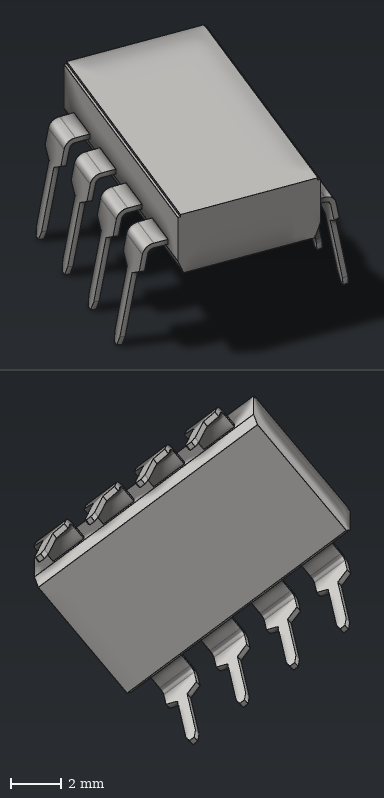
import cadquery as cq
import math

overall_height = 7.0
lead_span = 10.09

body_length = 11.1
body_width = 6.2
body_height = 2.94
top_step_height = 0.11
top_step_inset = 0.11
bottom_chamfer_height = 0.65
bottom_chamfer_inset = 0.25

leads_per_side = 4
lead_pitch = 2.54
lead_thickness = 0.24
lead_width = 1.55
pin_width = 0.5
tip_width = 0.24
lead_top_depth = 1.85
bend_outer_radius = 0.5
splay_angle = 10.0

shoulder_start = 0.82
shoulder_end = 1.22
taper_start = 4.3

half_width = body_width / 2
splay = math.radians(splay_angle)
bend_angle = math.pi / 2 - splay
bend_inner_radius = bend_outer_radius - lead_thickness
lead_top_z = body_height - lead_top_depth
bend_center_z = lead_top_z - bend_outer_radius
blade_start_z = bend_center_z + bend_outer_radius * math.sin(splay)
tip_bottom_z = body_height - overall_height
tip_outer_z = tip_bottom_z + lead_thickness * math.sin(splay)
blade_length = (blade_start_z - tip_outer_z) / math.cos(splay)
blade_start_y = lead_span / 2 - blade_length * math.sin(splay)
bend_center_y = blade_start_y - bend_outer_radius * math.cos(splay)


def make_body():
    """Body section with a stepped top and chamfered lower edges, run along X."""
    step_half_width = half_width - top_step_inset
    bottom_half_width = half_width - bottom_chamfer_inset
    step_z = body_height - top_step_height
    right_side = [
        (bottom_half_width, 0),
        (half_width, bottom_chamfer_height),
        (half_width, step_z),
        (step_half_width, step_z),
        (step_half_width, body_height),
    ]
    left_side = [(-y, z) for y, z in reversed(right_side)]
    section = cq.Workplane("YZ").polyline(right_side + left_side).close()
    return section.extrude(body_length / 2, both=True)


def bend_point(radius, turn):
    """Point on the bend after turning down from horizontal by the given angle."""
    y = bend_center_y + radius * math.sin(turn)
    z = bend_center_z + radius * math.cos(turn)
    return y, z


def make_arm_and_bend():
    """Horizontal arm leaving the +Y side of the body, and the bend at its end."""
    section = (
        cq.Workplane("YZ")
        .moveTo(half_width, lead_top_z)
        .lineTo(*bend_point(bend_outer_radius, 0))
        .threePointArc(
            bend_point(bend_outer_radius, bend_angle / 2),
            bend_point(bend_outer_radius, bend_angle),
        )
        .lineTo(*bend_point(bend_inner_radius, bend_angle))
        .threePointArc(
            bend_point(bend_inner_radius, bend_angle / 2),
            bend_point(bend_inner_radius, 0),
        )
        .lineTo(half_width, lead_top_z - lead_thickness)
        .close()
    )
    return section.extrude(lead_width / 2, both=True)


def make_blade():
    """Flat splayed blade that narrows to a pin with a tapered tip."""
    outer_face = cq.Plane(
        origin=(0, blade_start_y, blade_start_z),
        xDir=(1, 0, 0),
        normal=(0, -math.cos(splay), -math.sin(splay)),
    )
    right_edge = [
        (lead_width / 2, 0),
        (lead_width / 2, -shoulder_start),
        (pin_width / 2, -shoulder_end),
        (pin_width / 2, -taper_start),
        (tip_width / 2, -blade_length),
    ]
    left_edge = [(-x, y) for x, y in reversed(right_edge)]
    outline = cq.Workplane(outer_face).polyline(right_edge + left_edge).close()
    return outline.extrude(lead_thickness)


back_lead = make_arm_and_bend().union(make_blade())
front_lead = back_lead.mirror("XZ")

result = make_body()
for index in range(leads_per_side):
    lead_x = (index - (leads_per_side - 1) / 2) * lead_pitch
    for lead in (back_lead, front_lead):
        result = result.union(lead.translate((lead_x, 0, 0)))